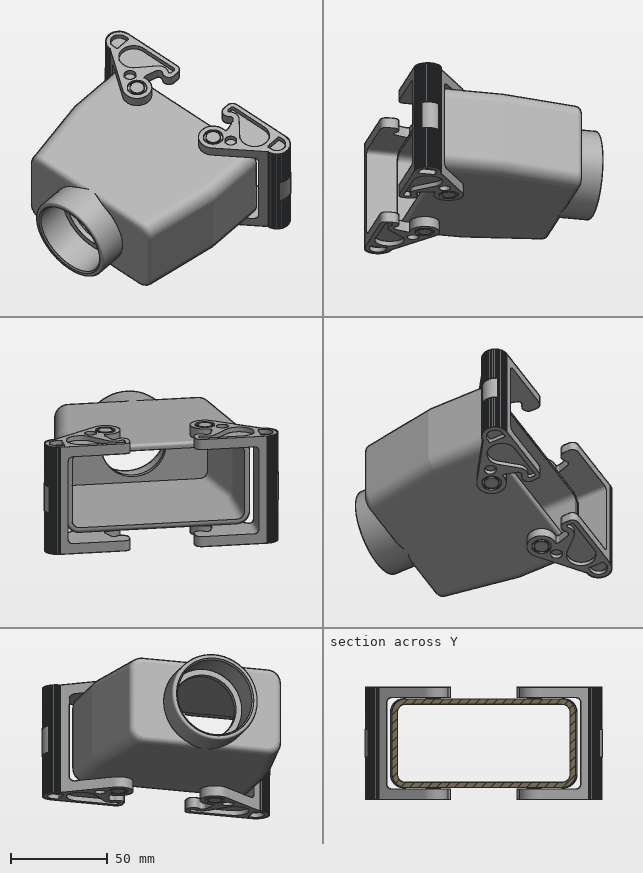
import math

import cadquery as cq


overall_width = 122.6
overall_length = 107.9
overall_thickness = 58.0

hood_width = 96.2
hood_thickness = 46.0
hood_rim_y = 38.7
hood_shoulder_y = 4.3
hood_bottom_y = -38.6
hood_taper_angle = 10.0
hood_side_radius = 7.0
hood_bottom_radius = 3.0
hood_rim_radius = 1.7
hood_wall = 3.0

collar_end_y = -overall_length / 2
collar_radius = hood_thickness / 2
collar_outer_round = 1.0
collar_bore_radius = 20.1
collar_bore_chamfer = 0.8
collar_bore_end_y = -35.9
shoulder_thickness = 2.9
cable_hole_radius = 17.0

lever_top_y = overall_length / 2
lever_arm_inner_z = 23.5
lever_window_x = -50.0
lever_window_radius = 2.5
pad_height = 0.3
grip_radius = 7.0
grip_center = (pad_height + grip_radius - overall_width / 2, lever_top_y - grip_radius)
pivot_center = (-26.05, 29.0)
pivot_radius = 7.6
hook_radius = 3.4
hook_x = -20.45
hook_top_center = (hook_x, lever_top_y - hook_radius)
hook_lobe_center = (hook_x, 47.6)
throat_corner = (-28.0, 38.5)
nook_center = (-24.2, 43.6)
nook_radius = math.dist(nook_center, hook_lobe_center) - hook_radius

groove_pitch_angle = 8.0
groove_count = 23
groove_width = 0.35
groove_depth = 0.3
pad_half_angle = 39.0
pad_length = 14.4

pocket_depth = 2.5
pocket_inset = 2.45
pocket_nook_wall = 3.1
pocket_center = (-41.4, 43.85)
pocket_radius = lever_top_y - pocket_inset - pocket_center[1]
grip_pocket_radius = 4.5
grip_pocket_flat_x = -51.4
grip_pocket_corner = 0.5
spring_hole_center = (-34.5, 33.1)
spring_hole_radius = 3.05
pin_radius = 3.75
pin_groove_radius = 5.0
pin_groove_depth = 1.0


def polar(center, radius, angle):
    """Point at the given angle (degrees) on a circle."""
    turn = math.radians(angle)
    return (center[0] + radius * math.cos(turn), center[1] + radius * math.sin(turn))


def heading(start, end):
    """Direction from start to end in degrees."""
    return math.degrees(math.atan2(end[1] - start[1], end[0] - start[0]))


def add_arc(outline, center, radius, start_angle, end_angle):
    """Continue an outline along a circle, from start_angle to end_angle."""
    middle = polar(center, radius, (start_angle + end_angle) / 2)
    return outline.threePointArc(middle, polar(center, radius, end_angle))


def hood_block(inset, bottom_y, side_radius):
    """Tapered hood body, shrunk by inset on its sides, with rounded long edges."""
    half_width = hood_width / 2 - inset
    bottom_half_width = half_width - (hood_shoulder_y - bottom_y) * math.tan(math.radians(hood_taper_angle))
    thickness = hood_thickness - 2 * inset
    block = (
        cq.Workplane("XY")
        .polyline([
            (-half_width, hood_rim_y),
            (half_width, hood_rim_y),
            (half_width, hood_shoulder_y),
            (bottom_half_width, bottom_y),
            (-bottom_half_width, bottom_y),
            (-half_width, hood_shoulder_y),
        ])
        .close()
        .extrude(thickness / 2, both=True)
    )
    return block.faces("<Z or >Z").edges("not(<Y or >Y)").fillet(side_radius)


def cylinder_along_y(radius, start_y, end_y):
    """Cylinder on the Y axis, running from start_y towards -Y."""
    return cq.Workplane("XZ", origin=(0, start_y, 0)).circle(radius).extrude(start_y - end_y)


def make_hood():
    """Hollow hood, open at the rim, with its cable collar and stepped bore."""
    hood = hood_block(0, hood_bottom_y, hood_side_radius)
    hood = hood.faces("<Y").edges().fillet(hood_bottom_radius)
    hood = hood.faces(">Y").edges().fillet(hood_rim_radius)
    collar = cylinder_along_y(collar_radius, hood_bottom_y + hood_bottom_radius, collar_end_y)
    collar = collar.faces("<Y").edges().fillet(collar_outer_round)
    cavity = hood_block(hood_wall, collar_bore_end_y + shoulder_thickness, hood_side_radius - hood_wall)
    bore = cylinder_along_y(collar_bore_radius, collar_bore_end_y, collar_end_y)
    cable_hole = cylinder_along_y(cable_hole_radius, hood_shoulder_y, collar_end_y)
    hood = hood.union(collar).cut(cavity).cut(bore).cut(cable_hole)
    bore_mouth = hood.faces("<Y").edges(cq.selectors.RadiusNthSelector(0))
    return hood.newObject(bore_mouth.vals()).chamfer(collar_bore_chamfer)


def lever_blank():
    """Lever outline in XY, extruded over the full thickness."""
    grip_bottom = polar(grip_center, grip_radius, -90)
    pivot_distance = math.dist(grip_bottom, pivot_center)
    slope_angle = heading(grip_bottom, pivot_center) - math.degrees(math.asin(pivot_radius / pivot_distance))
    throat_distance = math.dist(throat_corner, nook_center)
    nook_end_angle = heading(nook_center, throat_corner) - math.degrees(math.acos(nook_radius / throat_distance))
    lobe_end_angle = heading(hook_lobe_center, nook_center)
    nook_start_angle = lobe_end_angle + 180

    outline = cq.Workplane("XY").moveTo(*polar(grip_center, grip_radius, 90))
    outline = outline.lineTo(*polar(hook_top_center, hook_radius, 90))
    outline = add_arc(outline, hook_top_center, hook_radius, 90, 0)
    outline = outline.lineTo(*polar(hook_lobe_center, hook_radius, 0))
    outline = add_arc(outline, hook_lobe_center, hook_radius, 0, lobe_end_angle)
    outline = add_arc(outline, nook_center, nook_radius, nook_start_angle, nook_end_angle % 360)
    outline = outline.lineTo(*throat_corner)
    outline = outline.lineTo(throat_corner[0], pivot_center[1] + pivot_radius)
    outline = outline.lineTo(*polar(pivot_center, pivot_radius, 90))
    outline = add_arc(outline, pivot_center, pivot_radius, 90, slope_angle - 90)
    outline = outline.lineTo(*grip_bottom)
    outline = add_arc(outline, grip_center, grip_radius, -90, -270)
    return outline.close().extrude(overall_thickness / 2, both=True)


def lever_window():
    """Space between the two arms, with rounded inner corners against the grip bar."""
    window_width = -lever_window_x
    return (
        cq.Workplane("XY")
        .box(window_width, overall_length, 2 * lever_arm_inner_z, centered=(False, True, True))
        .edges("|Y and <X")
        .fillet(lever_window_radius)
        .translate((lever_window_x, 0, 0))
    )


def grip_grooves():
    """Fine V-grooves along Z around the grip."""
    flank_angle = math.degrees(groove_width / grip_radius)
    clearance_radius = grip_radius + groove_depth
    grooves = cq.Workplane("XY")
    for index in range(groove_count):
        angle = 180 + (index - (groove_count - 1) / 2) * groove_pitch_angle
        grooves = grooves.polyline([
            polar(grip_center, grip_radius - groove_depth, angle),
            polar(grip_center, clearance_radius, angle - flank_angle),
            polar(grip_center, clearance_radius, angle + flank_angle),
        ]).close()
    return grooves.extrude(overall_thickness / 2, both=True)


def grip_pad():
    """Plain raised pad in the middle of the grip."""
    first = 180 - pad_half_angle
    last = 180 + pad_half_angle
    inner_radius = grip_radius - groove_depth
    outer_radius = grip_radius + pad_height
    pad = cq.Workplane("XY").moveTo(*polar(grip_center, inner_radius, first))
    pad = pad.lineTo(*polar(grip_center, outer_radius, first))
    pad = add_arc(pad, grip_center, outer_radius, first, last)
    pad = pad.lineTo(*polar(grip_center, inner_radius, last))
    pad = add_arc(pad, grip_center, inner_radius, last, first)
    return pad.close().extrude(pad_length / 2, both=True)


def arm_pocket(floor):
    """Drop-shaped pocket that follows the hook."""
    tip_radius = hook_radius - pocket_inset
    nook_side_radius = nook_radius + pocket_nook_wall
    tip_offset_x = hook_x - nook_center[0]
    tip_offset_y = math.sqrt((nook_side_radius + tip_radius) ** 2 - tip_offset_x**2)
    tip_lower_center = (hook_x, nook_center[1] + tip_offset_y)
    tip_end_angle = heading(tip_lower_center, nook_center)
    axis_angle = heading(pocket_center, nook_center)
    center_distance = math.dist(pocket_center, nook_center)
    tangent_turn = math.degrees(math.acos((pocket_radius + nook_side_radius) / center_distance))
    drop_start_angle = axis_angle - tangent_turn
    nook_side_end_angle = drop_start_angle + 180

    pocket = floor.moveTo(*polar(pocket_center, pocket_radius, 90))
    pocket = pocket.lineTo(*polar(hook_top_center, tip_radius, 90))
    pocket = add_arc(pocket, hook_top_center, tip_radius, 90, 0)
    pocket = pocket.lineTo(*polar(tip_lower_center, tip_radius, 0))
    pocket = add_arc(pocket, tip_lower_center, tip_radius, 0, tip_end_angle)
    pocket = add_arc(pocket, nook_center, nook_side_radius, tip_end_angle + 180, nook_side_end_angle)
    pocket = pocket.lineTo(*polar(pocket_center, pocket_radius, drop_start_angle))
    pocket = add_arc(pocket, pocket_center, pocket_radius, drop_start_angle, -270)
    return pocket.close().extrude(pocket_depth)


def grip_pocket(floor):
    """D-shaped pocket in the end of the grip bar."""
    pocket = floor.moveTo(*polar(grip_center, grip_pocket_radius, 90))
    pocket = add_arc(pocket, grip_center, grip_pocket_radius, 90, 270)
    pocket = pocket.lineTo(grip_pocket_flat_x, grip_center[1] - grip_pocket_radius)
    pocket = pocket.lineTo(grip_pocket_flat_x, grip_center[1] + grip_pocket_radius)
    return pocket.close().extrude(pocket_depth).edges("|Z and >X").fillet(grip_pocket_corner)


def arm_recesses():
    """All recesses in the +Z face of a lever arm."""
    outer_z = overall_thickness / 2
    floor = cq.Workplane("XY").workplane(offset=outer_z - pocket_depth)
    spring_hole = floor.moveTo(*spring_hole_center).circle(spring_hole_radius).extrude(pocket_depth)
    pin_groove = (
        cq.Workplane("XY")
        .workplane(offset=outer_z - pin_groove_depth)
        .moveTo(*pivot_center)
        .circle(pin_groove_radius)
        .circle(pin_radius)
        .extrude(pin_groove_depth)
    )
    return arm_pocket(floor).union(grip_pocket(floor)).union(spring_hole).union(pin_groove)


def pivot_pin():
    """Pin that joins the +Z arm to the hood wall."""
    start_z = hood_thickness / 2 - hood_wall / 2
    pin_length = overall_thickness / 2 - pin_groove_depth - start_z
    base = cq.Workplane("XY").workplane(offset=start_z)
    return base.moveTo(*pivot_center).circle(pin_radius).extrude(pin_length)


def make_lever():
    """Lever on the -X side with the pins that hold it to the hood."""
    recesses = arm_recesses()
    pin = pivot_pin()
    lever = lever_blank().cut(lever_window()).cut(grip_grooves()).union(grip_pad())
    lever = lever.cut(recesses).cut(recesses.mirror("XY"))
    return lever.union(pin).union(pin.mirror("XY"))


lever = make_lever()
result = make_hood().union(lever).union(lever.mirror("YZ"))